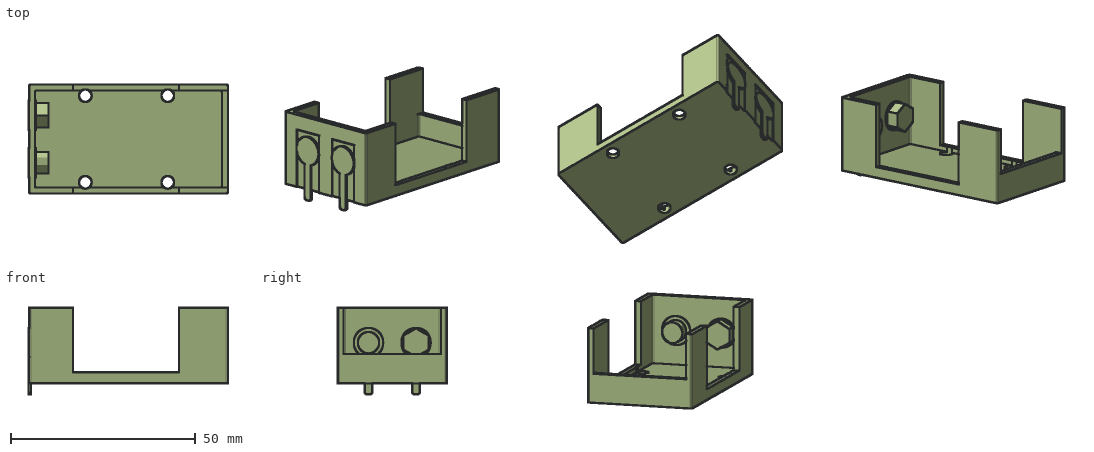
import cadquery as cq
import math

overall_length = 54.05
contact_proud = 0.15
box_width = 29.6
box_height = 20.5
wall = 1.6
far_wall = 1.7
near_wall_face = contact_proud + wall
floor_thickness = 1.6
outer_corner_radius = 0.55
inner_corner_radius = 0.5

window_start = 12.1
window_end = 40.7
window_sill = 3.0
far_wall_height = 8.0

hole_diameter = 3.35
hole_xs = (15.4, 37.7)
hole_offset_y = 11.7

contact_ys = (-6.45, 6.45)
contact_z = 11.0
contact_diameter = 8.0
contact_thickness = 0.7
recess_floor_x = 0.5
recess_width = 8.15
recess_height = 16.2
leg_width = 2.15
leg_drop = 23.45 - box_height
leg_tip_chamfer = 0.5

inner_pad_thickness = 0.2
terminal_length = 3.6
round_terminal_diameter = 5.8
hex_terminal_width = 6.75


def block(x_start, x_end, width, z_start, z_end, y=0):
    """Box centred on y, given by its X and Z limits."""
    return (
        cq.Workplane("XY")
        .box(x_end - x_start, width, z_end - z_start, centered=(False, True, False))
        .translate((x_start, y, z_start))
    )


def make_box():
    body = block(contact_proud, overall_length, box_width, 0, box_height)
    body = body.edges("|Z").fillet(outer_corner_radius)
    inner_width = box_width - 2 * wall
    far_face = overall_length - far_wall
    cavity = block(near_wall_face, far_face, inner_width, floor_thickness, box_height)
    body = body.cut(cavity.edges("|Z").fillet(inner_corner_radius))
    body = body.cut(block(window_start, window_end, box_width, window_sill, box_height))
    fillet_start = far_face - inner_corner_radius
    body = body.cut(block(fillet_start, overall_length, inner_width, far_wall_height, box_height))
    holes = (
        cq.Workplane("XY")
        .pushPoints([(x, side * hole_offset_y) for x in hole_xs for side in (-1, 1)])
        .circle(hole_diameter / 2)
        .extrude(box_height)
    )
    return body.cut(holes)


def contact_plane(x, y):
    """Sketch plane facing +X, centred on the contact at y."""
    return cq.Workplane("YZ", origin=(x, y, contact_z))


def make_contact(y):
    """Round contact face with a flat leg reaching below the box."""
    face = contact_plane(0, y).circle(contact_diameter / 2).extrude(contact_thickness)
    leg = block(0, contact_thickness, leg_width, -leg_drop, contact_z, y)
    leg = leg.edges("|X and <Z").chamfer(leg_tip_chamfer)
    return face.union(leg)


def make_inner_pad(y):
    return contact_plane(near_wall_face, y).circle(contact_diameter / 2).extrude(inner_pad_thickness)


round_y, hex_y = contact_ys

result = make_box()
for contact_y in contact_ys:
    recess = block(0, recess_floor_x, recess_width, 0, recess_height, contact_y)
    result = result.cut(recess)
    result = result.union(make_contact(contact_y)).union(make_inner_pad(contact_y))

round_terminal = (
    contact_plane(near_wall_face, round_y).circle(round_terminal_diameter / 2).extrude(terminal_length)
)
hex_corner_diameter = hex_terminal_width / math.cos(math.pi / 6)
hex_terminal = (
    contact_plane(near_wall_face, hex_y)
    .transformed(rotate=(0, 0, 90))
    .polygon(6, hex_corner_diameter)
    .extrude(terminal_length)
)
result = result.union(round_terminal).union(hex_terminal)